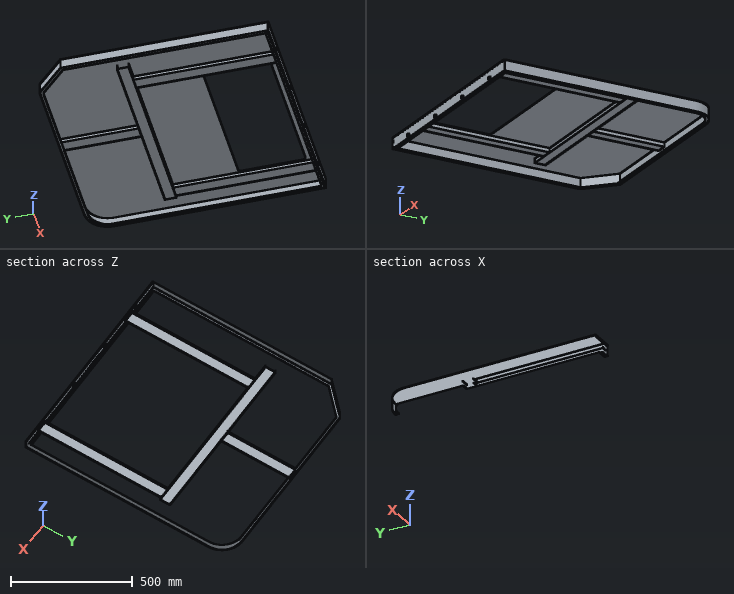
import cadquery as cq
PAN_WIDTH = 950.0
PAN_LENGTH = 1000.0
PAN_HEIGHT = 50.0
SHEET = 1.5
FRONT_WALL = 4.5
LIP_WIDTH = 15.0
CORNER_CHAMFER = 120.0
CORNER_RADIUS = 100.0

WINDOW_WIDTH = 590.0
WINDOW_LENGTH = 285.0
WINDOW_RADIUS = 10.0
WINDOW_CENTER_X = 45.0
WINDOW_FRONT_MARGIN = 50.0

SLOT_COUNT = 4
SLOT_PITCH = 230.0
SLOT_LENGTH = 15.0
SLOT_HEIGHT = 10.0
SLOT_ABOVE_RIM = 15.0

CHANNEL_WIDTH = 50.0
CHANNEL_HEIGHT = 20.0
CROSS_LEFT_X = -382.0
CROSS_RIGHT_X = 405.0
CROSS_CENTER_Y = 140.0
SIDE_CENTERS_X = (-280.0, 370.0)
SIDE_FRONT_GAP = 10.0
REAR_CENTER_X = 0.0

FRONT_Y = -PAN_LENGTH / 2
REAR_Y = PAN_LENGTH / 2
TOP_Z = PAN_HEIGHT / 2
CEILING_Z = TOP_Z - SHEET
RIM_Z = -PAN_HEIGHT / 2
CROSS_FRONT_Y = CROSS_CENTER_Y - CHANNEL_WIDTH / 2
CROSS_REAR_Y = CROSS_CENTER_Y + CHANNEL_WIDTH / 2


def make_plate(inset, bottom_z, top_z):
    """Plate with the pan's outline moved inwards by the inset, between two heights."""
    thickness = top_z - bottom_z
    outline = (
        cq.Sketch()
        .rect(PAN_WIDTH, PAN_LENGTH)
        .vertices("<X and >Y")
        .chamfer(CORNER_CHAMFER)
        .reset()
        .vertices(">X and >Y")
        .fillet(CORNER_RADIUS)
    )
    plate = cq.Workplane("XY", origin=(0, 0, bottom_z)).placeSketch(outline).extrude(thickness)
    if inset == 0:
        return plate
    bottom_outline = plate.faces("<Z").wires().toPending().workplane(invert=True)
    return bottom_outline.offset2D(-inset).extrude(thickness, combine=False)


def make_window():
    center_y = FRONT_Y + WINDOW_FRONT_MARGIN + WINDOW_LENGTH / 2
    return (
        cq.Workplane("XY")
        .box(WINDOW_WIDTH, WINDOW_LENGTH, PAN_HEIGHT)
        .edges("|Z")
        .fillet(WINDOW_RADIUS)
        .translate((WINDOW_CENTER_X, center_y, TOP_Z))
    )


def make_front_slots():
    return (
        cq.Workplane("XZ", origin=(0, FRONT_Y, RIM_Z + SLOT_ABOVE_RIM))
        .rarray(SLOT_PITCH, 10, SLOT_COUNT, 1)
        .slot2D(SLOT_LENGTH, SLOT_HEIGHT)
        .extrude(-FRONT_WALL)
    )


def make_pan():
    """Tray with a thicker front wall and a lip turned inwards around its rim."""
    front_wall = cq.Workplane("XY").box(PAN_WIDTH, FRONT_WALL, PAN_HEIGHT)
    front_wall = front_wall.translate((0, FRONT_Y + FRONT_WALL / 2, 0))
    cavity = make_plate(SHEET, RIM_Z + SHEET, CEILING_Z).cut(front_wall)
    mouth = make_plate(LIP_WIDTH, RIM_Z, RIM_Z + SHEET)
    pan = make_plate(0, RIM_Z, TOP_Z).cut(cavity).cut(mouth)
    return pan.cut(make_window()).cut(make_front_slots())


def make_channel(size_x, size_y, center, open_faces):
    """U channel whose legs touch the underside of the top sheet."""
    block = cq.Workplane("XY").box(size_x, size_y, CHANNEL_HEIGHT)
    channel = block.faces(open_faces).shell(-SHEET)
    center_x, center_y = center
    return channel.translate((center_x, center_y, CEILING_Z - CHANNEL_HEIGHT / 2))


def make_cross_channel():
    length = CROSS_RIGHT_X - CROSS_LEFT_X
    center = ((CROSS_LEFT_X + CROSS_RIGHT_X) / 2, CROSS_CENTER_Y)
    return make_channel(length, CHANNEL_WIDTH, center, ">Z or <X or >X")


def make_lengthwise_channel(center_x, start_y, end_y):
    center = (center_x, (start_y + end_y) / 2)
    return make_channel(CHANNEL_WIDTH, end_y - start_y, center, ">Z or <Y or >Y")


def make_front_frame():
    """Cross channel joined to the two channels that flank the window."""
    frame = make_cross_channel()
    for center_x in SIDE_CENTERS_X:
        side = make_lengthwise_channel(center_x, FRONT_Y + SIDE_FRONT_GAP, CROSS_FRONT_Y)
        frame = frame.union(side)
    return frame


def make_rear_channel():
    return make_lengthwise_channel(REAR_CENTER_X, CROSS_REAR_Y, REAR_Y - SHEET)


pan = make_pan()
front_frame = make_front_frame()
rear_channel = make_rear_channel()
result = cq.Compound.makeCompound([pan.val(), front_frame.val(), rear_channel.val()])